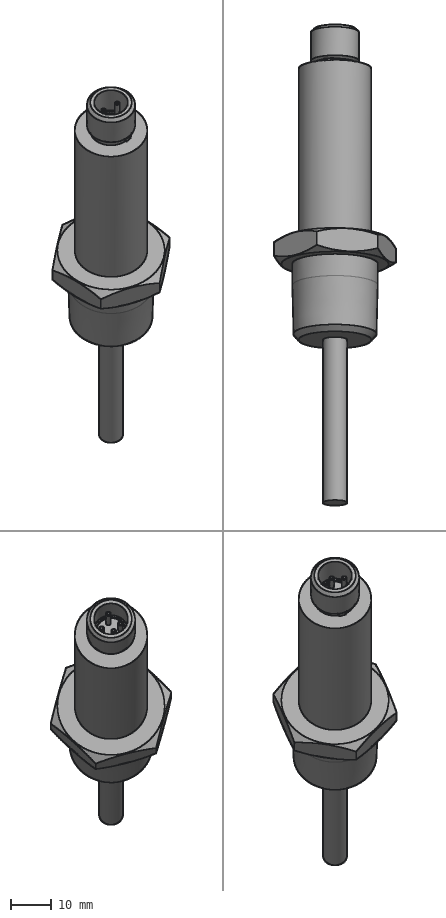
import cadquery as cq
import math

total_length = 121.0
fitting_bottom_z = 41.6
thread_chamfer_top_z = 43.1
taper_top_z = 55.5
nut_bottom_z = 61.0
nut_height = 6.0
body_top_z = 111.0
neck_height = 1.3
neck_cone_height = 0.6

probe_diameter = 6.0
fitting_bottom_diameter = 18.0
taper_bottom_diameter = 20.7
collar_diameter = 21.3
body_diameter = 18.0
neck_diameter = 10.4
connector_diameter = 12.0
connector_chamfer = 0.8

nut_across_flats = 27.0
nut_face_diameter = 26.6
nut_chamfer_angle = 30.0

tab_span = 11.3
tab_top_width = 2.4
tab_bottom_width = 1.6
tab_clearance = 0.2

socket_diameter = 8.3
socket_depth = 7.3
socket_floor_diameter = 7.4
socket_floor_depth = 8.0
pin_diameter = 1.2
pin_tip_chamfer = 0.2
pin_circle_radius = 2.4
long_pin_top_depth = 2.0
short_pin_top_depth = 4.2

neck_top_z = body_top_z + neck_height
nut_top_z = nut_bottom_z + nut_height
connector_bottom_z = neck_top_z + neck_cone_height
tab_bottom_z = body_top_z + tab_clearance


def make_turned_body():
    """Revolve the probe, tapered fitting, cylindrical body and connector shell."""
    probe_radius = probe_diameter / 2
    collar_radius = collar_diameter / 2
    body_radius = body_diameter / 2
    neck_radius = neck_diameter / 2
    connector_radius = connector_diameter / 2
    profile = [
        (0, 0),
        (probe_radius, 0),
        (probe_radius, fitting_bottom_z),
        (fitting_bottom_diameter / 2, fitting_bottom_z),
        (taper_bottom_diameter / 2, thread_chamfer_top_z),
        (collar_radius, taper_top_z),
        (collar_radius, nut_bottom_z),
        (body_radius, nut_bottom_z),
        (body_radius, body_top_z),
        (neck_radius, body_top_z),
        (neck_radius, neck_top_z),
        (connector_radius, connector_bottom_z),
        (connector_radius, total_length - connector_chamfer),
        (connector_radius - connector_chamfer, total_length),
        (0, total_length),
    ]
    return cq.Workplane("XZ").polyline(profile).close().revolve(360, (0, 0, 0), (0, 1, 0))


def make_nut():
    """Hexagon with corners on the X axis, trimmed by a cone at both faces."""
    corner_radius = nut_across_flats / 2 / math.cos(math.radians(30))
    face_radius = nut_face_diameter / 2
    chamfer_height = (corner_radius - face_radius) * math.tan(math.radians(nut_chamfer_angle))
    hexagon = (
        cq.Workplane("XY", origin=(0, 0, nut_bottom_z))
        .polygon(6, 2 * corner_radius)
        .extrude(nut_height)
    )
    chamfer_envelope = (
        cq.Workplane("XZ")
        .polyline([
            (0, nut_bottom_z),
            (face_radius, nut_bottom_z),
            (corner_radius, nut_bottom_z + chamfer_height),
            (corner_radius, nut_top_z - chamfer_height),
            (face_radius, nut_top_z),
            (0, nut_top_z),
        ])
        .close()
        .revolve(360, (0, 0, 0), (0, 1, 0))
    )
    return hexagon.intersect(chamfer_envelope)


def make_neck_tabs():
    """Bar across the neck along X whose two ends form the locating tabs, just clear of the body."""
    return (
        cq.Workplane("YZ")
        .polyline([
            (-tab_bottom_width / 2, tab_bottom_z),
            (tab_bottom_width / 2, tab_bottom_z),
            (tab_top_width / 2, neck_top_z),
            (-tab_top_width / 2, neck_top_z),
        ])
        .close()
        .extrude(tab_span / 2, both=True)
    )


def make_bore(diameter, depth):
    """Cylinder reaching down from the connector's top face."""
    return cq.Workplane("XY", origin=(0, 0, total_length - depth)).circle(diameter / 2).extrude(depth)


def make_pin_pair(top_depth, positions):
    """Contact pins with chamfered tips standing on the socket floor."""
    return (
        cq.Workplane("XY", origin=(0, 0, total_length - socket_floor_depth))
        .pushPoints(positions)
        .circle(pin_diameter / 2)
        .extrude(socket_floor_depth - top_depth)
        .faces(">Z")
        .chamfer(pin_tip_chamfer)
    )


long_pins = make_pin_pair(long_pin_top_depth, [(0, pin_circle_radius), (0, -pin_circle_radius)])
short_pins = make_pin_pair(short_pin_top_depth, [(pin_circle_radius, 0), (-pin_circle_radius, 0)])

result = (
    make_turned_body()
    .union(make_nut())
    .union(make_neck_tabs())
    .cut(make_bore(socket_diameter, socket_depth))
    .cut(make_bore(socket_floor_diameter, socket_floor_depth))
    .union(long_pins)
    .union(short_pins)
)